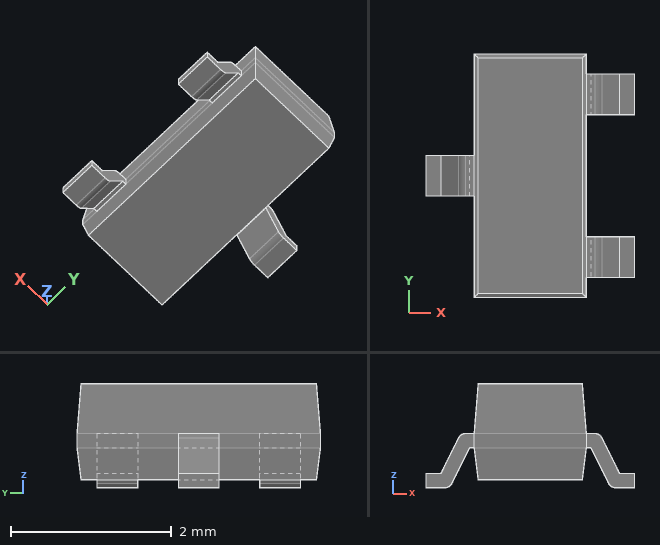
import cadquery as cq
import math

body_width = 1.4
body_length = 3.036
body_bottom = 0.1
body_top = 1.3
draft_inset = 0.05

lead_span = 2.6
lead_width = 0.51
lead_thickness = 0.18
lead_pitch = 2.03
shoulder_top = 0.68
bend_angle = 63.5
foot_length = 0.185
bend_radius = 0.1
root_depth = 0.05

belt_top = shoulder_top
belt_bottom = shoulder_top - lead_thickness


def tapered_half(belt_z, end_z):
    """Half of the body, shrinking from the belt plane to its end face."""
    return (
        cq.Workplane("XY", origin=(0, 0, belt_z))
        .rect(body_width, body_length)
        .workplane(offset=end_z - belt_z)
        .rect(body_width - 2 * draft_inset, body_length - 2 * draft_inset)
        .loft(ruled=True)
    )


def make_body():
    belt = (
        cq.Workplane("XY", origin=(0, 0, belt_bottom))
        .rect(body_width, body_length)
        .extrude(belt_top - belt_bottom)
    )
    upper = tapered_half(belt_top, body_top)
    lower = tapered_half(belt_bottom, body_bottom)
    return belt.union(upper).union(lower)


def make_lead(y_center):
    """Gull-wing lead on the +X side, centred on y_center."""
    angle = math.radians(bend_angle)
    root_x = body_width / 2 - root_depth
    tip_x = lead_span / 2
    leg_run = (shoulder_top - lead_thickness) / math.tan(angle)
    corner_shift = lead_thickness * math.tan(angle / 2)

    foot_inside_x = tip_x - foot_length
    foot_outside_x = foot_inside_x - corner_shift
    shoulder_outside_x = foot_inside_x - leg_run
    shoulder_inside_x = foot_outside_x - leg_run

    lead = (
        cq.Workplane("XZ", origin=(0, y_center + lead_width / 2, 0))
        .moveTo(root_x, shoulder_top)
        .lineTo(shoulder_outside_x, shoulder_top)
        .lineTo(foot_inside_x, lead_thickness)
        .lineTo(tip_x, lead_thickness)
        .lineTo(tip_x, 0)
        .lineTo(foot_outside_x, 0)
        .lineTo(shoulder_inside_x, belt_bottom)
        .lineTo(root_x, belt_bottom)
        .close()
        .extrude(lead_width)
    )
    for corner_x, corner_z in ((shoulder_outside_x, shoulder_top), (foot_outside_x, 0)):
        bend_edge = cq.selectors.NearestToPointSelector((corner_x, y_center, corner_z))
        lead = lead.edges("|Y").edges(bend_edge).fillet(bend_radius)
    return lead


result = make_body()
for y_center in (-lead_pitch / 2, lead_pitch / 2):
    result = result.union(make_lead(y_center))
result = result.union(make_lead(0).mirror("YZ"))